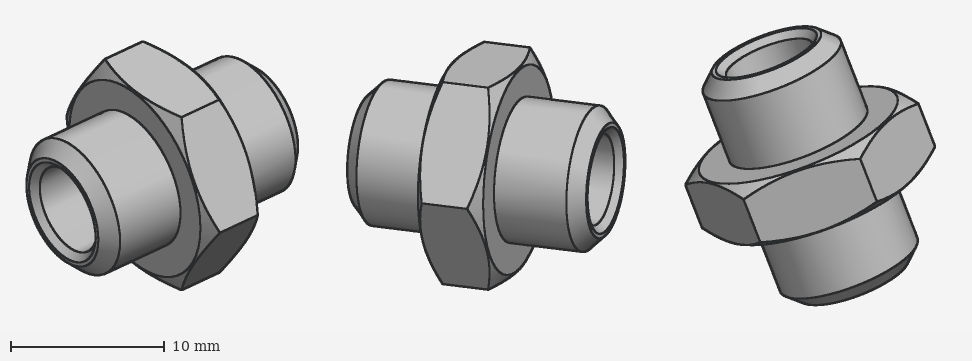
import cadquery as cq
import math

total_length = 16.5
hex_thickness = 4.5
across_flats = 14.0
hex_face_diameter = 13.8
hex_chamfer_angle = 30.0

spigot_diameter = 9.6
spigot_chamfer = 1.0
bore_diameter = 6.0
bore_mouth_diameter = 7.0
bore_chamfer = (bore_mouth_diameter - bore_diameter) / 2

across_corners = across_flats / math.cos(math.radians(30))


def revolve_about_y(points):
    """Revolve a closed (radius, y) outline about the Y axis."""
    return cq.Workplane("XY").polyline(points).close().revolve(360, (0, 0, 0), (0, 1, 0))


def make_hexagon():
    """Hexagon with corners on X, its corners trimmed by a cone on both faces."""
    half_thickness = hex_thickness / 2
    face_radius = hex_face_diameter / 2
    corner_radius = across_corners / 2
    corner_drop = (corner_radius - face_radius) * math.tan(math.radians(hex_chamfer_angle))
    prism = (
        cq.Workplane("XZ")
        .polygon(6, across_corners)
        .extrude(half_thickness, both=True)
    )
    envelope = revolve_about_y([
        (0, -half_thickness),
        (face_radius, -half_thickness),
        (corner_radius, -half_thickness + corner_drop),
        (corner_radius, half_thickness - corner_drop),
        (face_radius, half_thickness),
        (0, half_thickness),
    ])
    return prism.intersect(envelope)


def make_spigots():
    """One cylinder through the hexagon, chamfered at both ends."""
    return (
        cq.Workplane("XZ")
        .circle(spigot_diameter / 2)
        .extrude(total_length / 2, both=True)
        .faces("<Y or >Y")
        .chamfer(spigot_chamfer)
    )


def make_bore():
    """Through bore, countersunk at both mouths."""
    half_length = total_length / 2
    bore_radius = bore_diameter / 2
    mouth_radius = bore_mouth_diameter / 2
    return revolve_about_y([
        (0, -half_length),
        (mouth_radius, -half_length),
        (bore_radius, -half_length + bore_chamfer),
        (bore_radius, half_length - bore_chamfer),
        (mouth_radius, half_length),
        (0, half_length),
    ])


result = make_hexagon().union(make_spigots()).cut(make_bore())